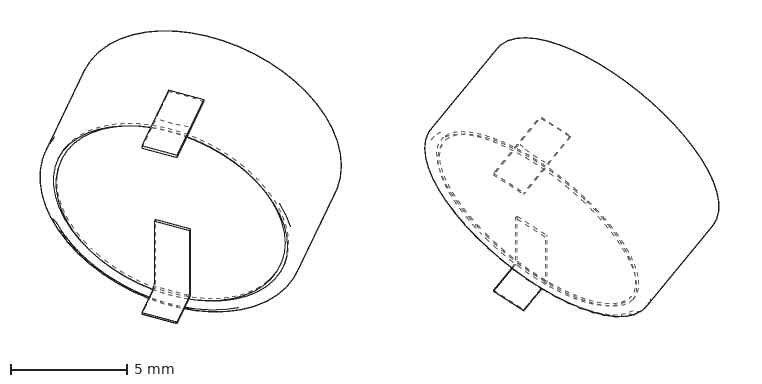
import cadquery as cq

BODY_DIAMETER = 12.0
BODY_RADIUS = BODY_DIAMETER / 2
BODY_LENGTH = 5.4
BODY_EDGE_RADIUS = 0.3

GROOVE_OUTER_DIAMETER = 10.73
GROOVE_INNER_DIAMETER = 10.43
GROOVE_DEPTH = 0.2
RIM_EDGE_RADIUS = 0.1
CAP_EDGE_RADIUS = 0.13

TAB_WIDTH = 1.6
TAB_CENTRE_X = 0.16
TAB_REACH = 1.7
TOP_TAB_LENGTH = 3.4
TOP_TAB_THICKNESS = 0.16
TOP_TAB_UPPER_Z = 12.06 - BODY_RADIUS
FRONT_TAB_THICKNESS = 0.11
FRONT_TAB_TOP_Z = -0.5
FRONT_TAB_BOTTOM_Z = -4.82
FRONT_TAB_BEND_RADIUS = 0.3


def disc(diameter, length):
    """Cylinder running back along +Y from the front face plane."""
    return cq.Workplane("XZ").circle(diameter / 2).extrude(-length)


def make_body():
    """Can with rounded end edges and a ring groove in its front face."""
    can = disc(BODY_DIAMETER, BODY_LENGTH).edges().fillet(BODY_EDGE_RADIUS)
    opening = disc(GROOVE_OUTER_DIAMETER, GROOVE_DEPTH)
    shell = can.cut(opening)
    opening_rim = cq.selectors.RadiusNthSelector(0)
    shell = shell.faces("<Y").edges(opening_rim).fillet(RIM_EDGE_RADIUS)
    cap = disc(GROOVE_INNER_DIAMETER, GROOVE_DEPTH).faces("<Y").edges().fillet(CAP_EDGE_RADIUS)
    return shell.union(cap)


def make_top_tab():
    """Flat strip along the top of the can, overhanging its front face."""
    return cq.Workplane("XY").box(
        TAB_WIDTH, TOP_TAB_LENGTH, TOP_TAB_THICKNESS, centered=(True, False, False)
    ).translate((TAB_CENTRE_X, -TAB_REACH, TOP_TAB_UPPER_Z - TOP_TAB_THICKNESS))


def make_front_tab():
    """L-shaped strip on the cap with a rounded inner bend."""
    inner_z = FRONT_TAB_BOTTOM_Z + FRONT_TAB_THICKNESS
    tab = (
        cq.Workplane("YZ")
        .moveTo(0, FRONT_TAB_BOTTOM_Z)
        .lineTo(0, FRONT_TAB_TOP_Z)
        .lineTo(-FRONT_TAB_THICKNESS, FRONT_TAB_TOP_Z)
        .lineTo(-FRONT_TAB_THICKNESS, inner_z + FRONT_TAB_BEND_RADIUS)
        .radiusArc((-FRONT_TAB_THICKNESS - FRONT_TAB_BEND_RADIUS, inner_z), FRONT_TAB_BEND_RADIUS)
        .lineTo(-TAB_REACH, inner_z)
        .lineTo(-TAB_REACH, FRONT_TAB_BOTTOM_Z)
        .close()
        .extrude(TAB_WIDTH / 2, both=True)
    )
    return tab.translate((TAB_CENTRE_X, 0, 0))


result = make_body().union(make_top_tab()).union(make_front_tab())